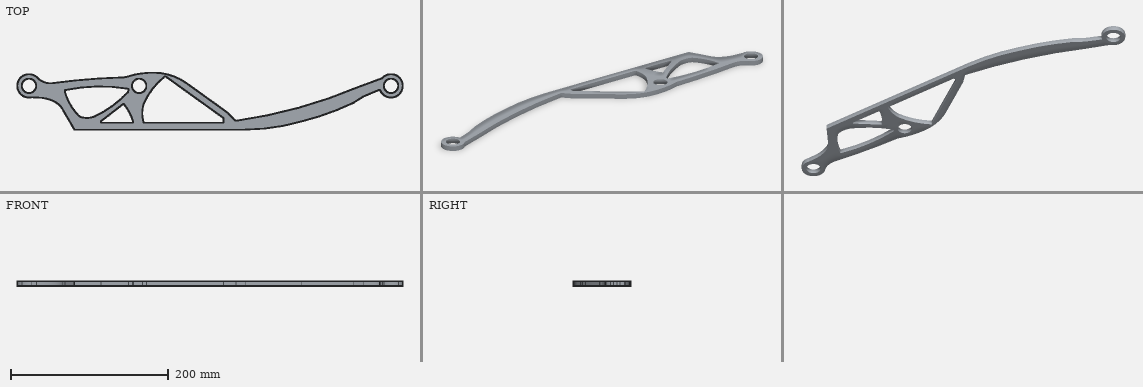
import cadquery as cq
import math


thickness = 6.3
eye_spacing = 460.0
eye_diameter = 30.0
hole_diameter = 18.0
pivot = (140.0, 0.0)
overall_depth = 72.71
crest_y = 16.95
rail_height = 9.0
strut_angle = 35.7
crest_x = 158.5
crest_radius = 71.5
crest_lead_radius = 118.0
crest_lead_length = 24.0
window_corner_radius = 1.0
eye_join_angle = 40.0
neck_angle = 282.0
arm_top_angle = 139.0
arm_bottom_angle = 199.0

eye_radius = eye_diameter / 2
left_eye = (0.0, 0.0)
right_eye = (eye_spacing, 0.0)
floor_y = crest_y - overall_depth
rail_top_y = floor_y + rail_height
strut_slope = math.tan(math.radians(strut_angle))


def on_circle(centre, radius, angle):
    """Point on a circle at an angle in degrees from +X."""
    turn = math.radians(angle)
    return (centre[0] + radius * math.cos(turn), centre[1] + radius * math.sin(turn))


def down_strut(start, end_x):
    """Point reached by following the strut slope from start to end_x."""
    return (end_x, start[1] - (end_x - start[0]) * strut_slope)


def plate_outline():
    """Outer profile between the eyes, counter-clockwise from below the left eye."""
    neck_start = on_circle(left_eye, eye_radius, neck_angle)
    neck_bend = (29.3, -18.7)
    toe_top = (42.0, -28.8)
    toe = (57.7, floor_y)
    toe_direction = (toe[0] - toe_top[0], toe[1] - toe_top[1])
    rail_end = (275.0, floor_y)
    front_belly_middle = (311.0, -53.0)
    belly_joint = (346.0, -45.4)
    rear_belly_middle = (380.0, -35.1)
    belly_end = (412.0, -21.8)
    wrist = (425.0, -13.6)
    arm_tip_bottom = on_circle(right_eye, eye_radius, arm_bottom_angle)
    arm_tip_top = on_circle(right_eye, eye_radius, arm_top_angle)
    arm_back_end = (419.0, -1.1)
    arm_back_middle = (350.0, -25.6)
    notch = (262.5, -44.3)
    strut_foot_x = 252.4

    back_start = (121.6, 11.0)
    back_middle = (75.0, 8.5)
    back_end = (28.0, 3.4)
    eye_fillet_middle = (19.0, 5.0)
    eye_join = on_circle(left_eye, eye_radius, eye_join_angle)

    shoulder_centre = (crest_x, crest_y - crest_radius)
    strut_top = on_circle(shoulder_centre, crest_radius, 90 - strut_angle)
    crest = (crest_x, crest_y)
    lead_angle = math.degrees(math.asin(crest_lead_length / crest_lead_radius))
    lead_centre = (crest_x, crest_y - crest_lead_radius)
    lead_start = on_circle(lead_centre, crest_lead_radius, 90 + lead_angle)
    lead_middle = on_circle(lead_centre, crest_lead_radius, 90 + lead_angle / 2)

    return (
        cq.Workplane("XY")
        .moveTo(*neck_start)
        .spline([neck_bend, toe_top], tangents=[(1, 0), toe_direction], includeCurrent=True)
        .lineTo(*toe)
        .lineTo(*rail_end)
        .threePointArc(front_belly_middle, belly_joint)
        .threePointArc(rear_belly_middle, belly_end)
        .lineTo(*wrist)
        .lineTo(*arm_tip_bottom)
        .lineTo(*arm_tip_top)
        .lineTo(*arm_back_end)
        .threePointArc(arm_back_middle, notch)
        .lineTo(*down_strut(strut_top, strut_foot_x))
        .lineTo(*strut_top)
        .threePointArc(on_circle(shoulder_centre, crest_radius, 90 - strut_angle / 2), crest)
        .threePointArc(lead_middle, lead_start)
        .lineTo(*back_start)
        .threePointArc(back_middle, back_end)
        .threePointArc(eye_fillet_middle, eye_join)
        .close()
    )


def finish_window(outline):
    """Turn a closed window outline into a cutter with rounded vertical corners."""
    return outline.close().extrude(thickness).edges("|Z").fillet(window_corner_radius)


def front_window():
    """Large leaf-shaped window beside the left eye."""
    front_corner = (45.2, -5.7)
    top_middle = (87.7, -0.9)
    pivot_corner = (126.5, -3.9)
    tip = (125.8, -7.8)
    underside_middle = (106.6, -24.9)
    bottom_rear = (83.2, -38.8)
    bottom_middle = (74.5, -40.6)
    bottom_front = (64.2, -38.9)
    front_middle = (54.0, -26.1)
    return finish_window(
        cq.Workplane("XY")
        .moveTo(*front_corner)
        .threePointArc(top_middle, pivot_corner)
        .lineTo(*tip)
        .threePointArc(underside_middle, bottom_rear)
        .threePointArc(bottom_middle, bottom_front)
        .threePointArc(front_middle, front_corner)
    )


def middle_window():
    """Small triangular window under the pivot, with a bowed right side."""
    front_corner = (89.3, rail_top_y)
    rear_corner = (132.6, rail_top_y)
    bow_middle = (127.3, -33.5)
    peak = (120.2, -22.8)
    return finish_window(
        cq.Workplane("XY")
        .moveTo(*front_corner)
        .lineTo(*rear_corner)
        .threePointArc(bow_middle, peak)
    )


def rear_window():
    """Large window between the pivot web, the bottom rail and the diagonal strut."""
    web_foot = (145.9, rail_top_y)
    heel = (247.0, rail_top_y)
    peak = (173.1, 12.2)
    upper_web_middle = (154.2, -7.8)
    web_joint = (146.0, -22.6)
    lower_web_middle = (144.1, -34.4)
    return finish_window(
        cq.Workplane("XY")
        .moveTo(*web_foot)
        .lineTo(*heel)
        .lineTo(*down_strut(peak, heel[0]))
        .lineTo(*peak)
        .threePointArc(upper_web_middle, web_joint)
        .threePointArc(lower_web_middle, web_foot)
    )


plate = plate_outline().extrude(thickness)
eyes = cq.Workplane("XY").pushPoints([left_eye, right_eye]).circle(eye_radius).extrude(thickness)
plate = plate.union(eyes)

for window in (front_window(), middle_window(), rear_window()):
    plate = plate.cut(window)

holes = (
    cq.Workplane("XY")
    .pushPoints([left_eye, pivot, right_eye])
    .circle(hole_diameter / 2)
    .extrude(thickness)
)
result = plate.cut(holes)